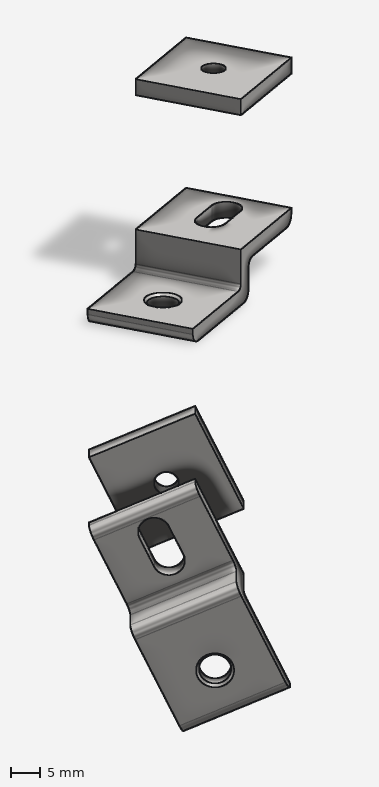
import cadquery as cq

width = 20.0
thickness = 3.0
total_length = 39.0
total_height = 38.4

step_height = 7.4
wall_thickness = 3.1
high_flange_length = 20.0
outer_radius = 2.0
web_top_radius = 1.5
web_foot_radius = 1.0
bracket_height = thickness + step_height
web_front = total_length - high_flange_length
web_back = web_front + wall_thickness

low_hole_diameter = 5.5
low_hole_chamfer = 0.5
low_hole_y = 9.0
slot_width = 5.5
slot_length = 11.5
slot_y = total_length - 8.0

plate_length = high_flange_length
plate_hole_diameter = 4.2
plate_y = total_length - plate_length / 2


def make_bracket():
    """Z-shaped strip, with its bottom at Z = 0 and its front end at Y = 0."""
    profile = [
        (0, 0),
        (web_back, 0),
        (web_back, step_height),
        (total_length, step_height),
        (total_length, bracket_height),
        (web_front, bracket_height),
        (web_front, thickness),
        (0, thickness),
    ]
    body = cq.Workplane("YZ").polyline(profile).close().extrude(width / 2, both=True)

    def round_edge(solid, y, z, radius):
        edge = cq.selectors.NearestToPointSelector((0, y, z))
        return solid.edges("|X").edges(edge).fillet(radius)

    body = round_edge(body, 0, 0, outer_radius)
    body = round_edge(body, web_back, 0, outer_radius)
    body = round_edge(body, total_length, step_height, outer_radius)
    body = round_edge(body, web_back, step_height, web_top_radius)
    body = round_edge(body, web_front, thickness, web_foot_radius)

    low_hole = (
        cq.Workplane("XY")
        .center(0, low_hole_y)
        .circle(low_hole_diameter / 2)
        .extrude(thickness)
    )
    rim_radius = low_hole_diameter / 2 + low_hole_chamfer
    upper_cone = (
        cq.Workplane("XY", origin=(0, low_hole_y, thickness))
        .circle(rim_radius)
        .extrude(-low_hole_chamfer, taper=45)
    )
    lower_cone = upper_cone.mirror("XY", basePointVector=(0, 0, thickness / 2))

    slot = (
        cq.Workplane("XY", origin=(0, slot_y, step_height))
        .slot2D(slot_length, slot_width, 90)
        .extrude(thickness)
    )
    return body.cut(low_hole).cut(upper_cone).cut(lower_cone).cut(slot)


def make_plate():
    """Flat square plate with a central through hole."""
    return (
        cq.Workplane("XY", origin=(0, plate_y, total_height - thickness))
        .rect(width, plate_length)
        .circle(plate_hole_diameter / 2)
        .extrude(thickness)
    )


bracket = make_bracket()
plate = make_plate()
result = cq.Compound.makeCompound([bracket.solids().val(), plate.val()])